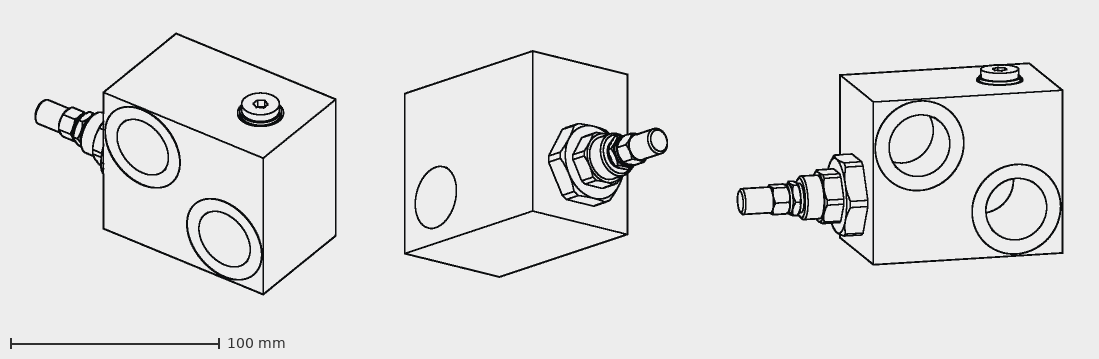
import cadquery as cq
import math

BLOCK_LENGTH = 94.0
BLOCK_WIDTH = 60.0
BLOCK_HEIGHT = 80.0

PORT_DIAMETER = 30.2
PORT_EDGE_DISTANCE = 23.0
SPOTFACE_DIAMETER = 44.0
SPOTFACE_DEPTH = 0.3
BLIND_PORT_DEPTH = BLOCK_WIDTH / 2

PLUG_RECESS_DIAMETER = 22.0
PLUG_RECESS_DEPTH = 0.3
PLUG_FLANGE_DIAMETER = 20.0
PLUG_FLANGE_HEIGHT = 1.2
PLUG_HEAD_DIAMETER = 18.0
PLUG_HEIGHT = 5.2
SOCKET_FLATS = 6.0
SOCKET_DEPTH = 3.8

CARTRIDGE_AXIS_Z = 28.0
BODY_NUT_LENGTH = 10.0
BODY_NUT_FLATS = 36.0
BODY_NUT_CORNERS = 39.8
CARTRIDGE_NUT_LENGTH = 9.1
CARTRIDGE_NUT_FLATS = 24.0
CARTRIDGE_NUT_CORNERS = 26.3
SLEEVE_LENGTH = 9.0
SLEEVE_DIAMETER = 21.0
REAR_NECK_LENGTH = 1.7
LOCK_NUT_LENGTH = 3.8
LOCK_NUT_FLATS = 15.0
FRONT_NECK_LENGTH = 1.4
NECK_DIAMETER = 14.0
ADJUSTER_HEX_LENGTH = 8.2
ADJUSTER_HEX_FLATS = 13.0
STEM_LENGTH = 14.7
STEM_DIAMETER = 12.5
EDGE_CHAMFER = 1.0
NUT_CHAMFER_ANGLE = 35.0


def across_corners(flats):
    return flats / math.cos(math.radians(30))


def hexagon_prism(flats, length):
    """Prism from X = 0 towards -X, with flats facing +Z and -Z."""
    return cq.Workplane("YZ").polygon(6, across_corners(flats)).extrude(-length)


def cylinder(diameter, length):
    """Cylinder from X = 0 towards -X."""
    return cq.Workplane("YZ").circle(diameter / 2).extrude(-length)


def chamfer_cone(flats, length):
    """Cone widening from the flats width at X = -length; it trims the nut corners at that end."""
    tip_radius = flats / 2
    base_radius = tip_radius + length / math.tan(math.radians(NUT_CHAMFER_ANGLE))
    profile = [(-length, 0), (-length, tip_radius), (0, base_radius), (0, 0)]
    return cq.Workplane("XY").polyline(profile).close().revolve(360, (0, 0), (1, 0))


def nut(flats, length, corners=None, chamfer_both_ends=False):
    """Hexagon with conical end chamfers; its corners are cut flat when a corner width is given."""
    body = hexagon_prism(flats, length)
    if corners:
        corner_cutter = hexagon_prism(corners, length).rotate((0, 0, 0), (1, 0, 0), 30)
        body = body.intersect(corner_cutter)
    if chamfer_both_ends:
        body = body.intersect(chamfer_cone(flats, length).mirror("YZ").translate((-length, 0, 0)))
    return body.intersect(chamfer_cone(flats, length))


def chamfered_cylinder(diameter, length):
    return cylinder(diameter, length).faces("<X").chamfer(EDGE_CHAMFER)


def make_cartridge():
    segments = [
        (BODY_NUT_LENGTH, nut(BODY_NUT_FLATS, BODY_NUT_LENGTH, BODY_NUT_CORNERS)),
        (CARTRIDGE_NUT_LENGTH, nut(CARTRIDGE_NUT_FLATS, CARTRIDGE_NUT_LENGTH, CARTRIDGE_NUT_CORNERS)),
        (SLEEVE_LENGTH, chamfered_cylinder(SLEEVE_DIAMETER, SLEEVE_LENGTH)),
        (REAR_NECK_LENGTH, cylinder(NECK_DIAMETER, REAR_NECK_LENGTH)),
        (LOCK_NUT_LENGTH, nut(LOCK_NUT_FLATS, LOCK_NUT_LENGTH, chamfer_both_ends=True)),
        (FRONT_NECK_LENGTH, cylinder(NECK_DIAMETER, FRONT_NECK_LENGTH)),
        (ADJUSTER_HEX_LENGTH, nut(ADJUSTER_HEX_FLATS, ADJUSTER_HEX_LENGTH, chamfer_both_ends=True)),
        (STEM_LENGTH, chamfered_cylinder(STEM_DIAMETER, STEM_LENGTH)),
    ]
    cartridge = cq.Workplane("YZ")
    reach = 0
    for length, segment in segments:
        cartridge = cartridge.union(segment.translate((-reach, 0, CARTRIDGE_AXIS_Z)))
        reach += length
    return cartridge


def port(x, z, depth):
    """Bore and spotface to be cut into the -Y face."""
    face = cq.Workplane("XZ", origin=(x, -BLOCK_WIDTH / 2, z))
    bore = face.circle(PORT_DIAMETER / 2).extrude(-depth)
    spotface = face.circle(SPOTFACE_DIAMETER / 2).extrude(-SPOTFACE_DEPTH)
    return bore.union(spotface)


def make_plug():
    """Plug standing on the floor of its recess; Z = 0 is the top of the block."""
    floor = cq.Workplane("XY", origin=(0, 0, -PLUG_RECESS_DEPTH))
    flange = floor.circle(PLUG_FLANGE_DIAMETER / 2).extrude(PLUG_RECESS_DEPTH + PLUG_FLANGE_HEIGHT)
    head = floor.circle(PLUG_HEAD_DIAMETER / 2).extrude(PLUG_RECESS_DEPTH + PLUG_HEIGHT)
    socket = (
        cq.Workplane("XY", origin=(0, 0, PLUG_HEIGHT))
        .polygon(6, across_corners(SOCKET_FLATS))
        .extrude(-SOCKET_DEPTH)
        .rotate((0, 0, 0), (0, 0, 1), 30)
    )
    return flange.union(head).cut(socket)


left_port_x = PORT_EDGE_DISTANCE
left_port_z = BLOCK_HEIGHT - PORT_EDGE_DISTANCE
right_port_x = BLOCK_LENGTH - PORT_EDGE_DISTANCE
right_port_z = PORT_EDGE_DISTANCE

block = cq.Workplane("XY").box(BLOCK_LENGTH, BLOCK_WIDTH, BLOCK_HEIGHT, centered=(False, True, False))
block = block.cut(port(left_port_x, left_port_z, BLIND_PORT_DEPTH))
block = block.cut(port(right_port_x, right_port_z, BLOCK_WIDTH))

plug_seat = cq.Workplane("XY", origin=(right_port_x, 0, BLOCK_HEIGHT))
block = block.cut(plug_seat.circle(PLUG_RECESS_DIAMETER / 2).extrude(-PLUG_RECESS_DEPTH))
plug = make_plug().translate((right_port_x, 0, BLOCK_HEIGHT))

result = block.union(plug).union(make_cartridge())